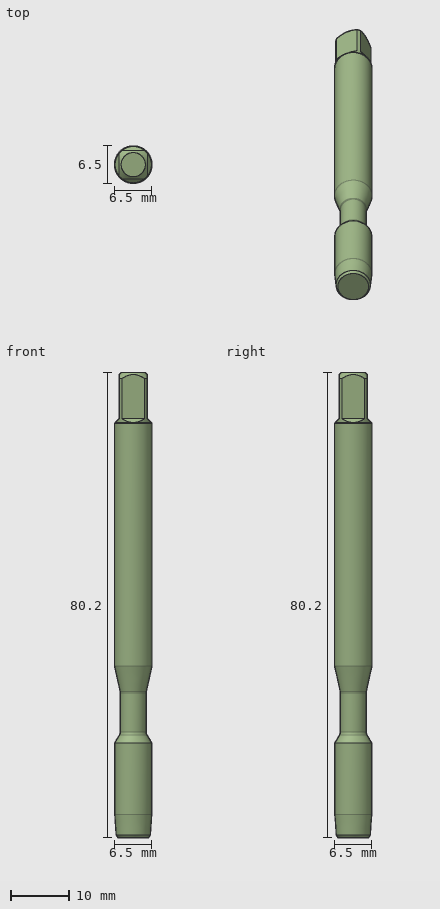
import cadquery as cq

total_height = 80.2
nose_height = 0.5
lead_top = 4
thread_top = 16.4
neck_bottom = 18.0
neck_top = 25.1
shank_bottom = 29.6
shank_top = 71.5
square_bottom = 72.3

nose_diameter = 5.3
lead_diameter = 5.9
thread_diameter = 6.4
neck_diameter = 4.5
shank_diameter = 6.5
square_end_diameter = 6.25
end_diameter = 4.2

neck_fillet = 1.0

square_width = 4.9
end_chamfer = (square_end_diameter - end_diameter) / 2
shoulder_chamfer = (shank_diameter - square_end_diameter) / 2
flat_depth = (square_end_diameter - square_width) / 2


def turned_body(stations):
    """Revolve a solid about Z from (diameter, height) stations listed upward."""
    outer = [(diameter / 2, height) for diameter, height in stations]
    bottom = (0, stations[0][1])
    top = (0, stations[-1][1])
    return cq.Workplane("XZ").polyline([bottom, *outer, top]).close().revolve(360, (0, 0), (0, 1))


def flat_cutter():
    """Block that cuts one flat on the +X side, ending below in a 45 degree slope."""
    inner = square_width / 2
    outer = inner + flat_depth
    return (
        cq.Workplane("XZ")
        .moveTo(inner, total_height)
        .lineTo(inner, square_bottom)
        .lineTo(outer, square_bottom - flat_depth)
        .lineTo(outer, total_height)
        .close()
        .extrude(shank_diameter / 2, both=True)
    )


def make_cutting_head():
    """Threaded length as a plain cylinder, with its tapered lead and chamfered nose."""
    return turned_body([
        (nose_diameter, 0),
        (lead_diameter, nose_height),
        (thread_diameter, lead_top),
        (thread_diameter, thread_top),
    ])


def make_shank():
    """Waisted neck and cylindrical shank, ending in the driving square."""
    shank = turned_body([
        (thread_diameter, thread_top),
        (neck_diameter, neck_bottom),
        (neck_diameter, neck_top),
        (shank_diameter, shank_bottom),
        (shank_diameter, shank_top - shoulder_chamfer),
        (square_end_diameter, shank_top),
        (square_end_diameter, total_height - end_chamfer),
        (end_diameter, total_height),
    ])
    reach = neck_diameter
    neck_ends = cq.selectors.BoxSelector(
        (-reach, -reach, (thread_top + neck_bottom) / 2),
        (reach, reach, (neck_top + shank_bottom) / 2),
    )
    shank = shank.edges("%CIRCLE").edges(neck_ends).fillet(neck_fillet)
    for side in range(4):
        shank = shank.cut(flat_cutter().rotate((0, 0, 0), (0, 0, 1), 90 * side))
    return shank


cutting_head = make_cutting_head()
shank = make_shank()
result = cq.Compound.makeCompound([cutting_head.val(), shank.val()])